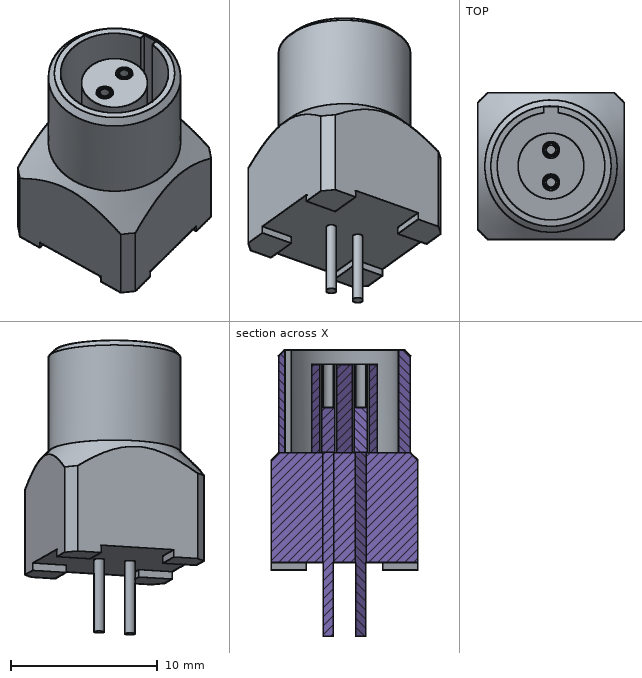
import cadquery as cq

BLOCK_SIDE = 10.0
BLOCK_CHAMFER = 0.7
BLOCK_HEIGHT = 8.0
CHANNEL_WIDTH = 5.2
CHANNEL_HEIGHT = 0.5

SHELL_RADIUS = 4.5
SHELL_BORE_RADIUS = 3.67
SHELL_RIM_CHAMFER = 0.4
KEYWAY_WIDTH = 1.0
KEYWAY_REACH = 4.04

INSULATOR_RADIUS = 2.25
INSULATOR_RECESS = 1.0
CONTACT_SPACING = 2.2
CONTACT_HOLE_RADIUS = 0.57
CONTACT_RADIUS = 0.45
CONTACT_BORE_RADIUS = 0.33
CONTACT_BORE_DEPTH = 2.92

PIN_RADIUS = 0.35
PIN_PROTRUSION = 4.5

TOTAL_HEIGHT = 19.5
RIM_Z = TOTAL_HEIGHT - PIN_PROTRUSION
SHELL_HEIGHT = RIM_Z - BLOCK_HEIGHT
INSULATOR_HEIGHT = SHELL_HEIGHT - INSULATOR_RECESS
PIN_LENGTH = PIN_PROTRUSION + BLOCK_HEIGHT
CONTACT_POINTS = [(0, -CONTACT_SPACING / 2), (0, CONTACT_SPACING / 2)]


def cylinder(radius, height, bottom_z, center=(0, 0)):
    return cq.Workplane("XY", origin=(*center, bottom_z)).circle(radius).extrude(height)


def make_block():
    """Square block with a 45 degree conical shoulder and crossed channels underneath."""
    block = cq.Workplane("XY").rect(BLOCK_SIDE, BLOCK_SIDE).extrude(BLOCK_HEIGHT)
    block = block.edges("|Z").chamfer(BLOCK_CHAMFER)

    cone = (
        cq.Workplane("XZ")
        .polyline([
            (0, 0),
            (SHELL_RADIUS + BLOCK_HEIGHT, 0),
            (SHELL_RADIUS, BLOCK_HEIGHT),
            (0, BLOCK_HEIGHT),
        ])
        .close()
        .revolve(360, (0, 0, 0), (0, 1, 0))
    )
    block = block.intersect(cone)

    for length_x, length_y in [(BLOCK_SIDE, CHANNEL_WIDTH), (CHANNEL_WIDTH, BLOCK_SIDE)]:
        channel = cq.Workplane("XY").rect(length_x, length_y).extrude(CHANNEL_HEIGHT)
        block = block.cut(channel)

    for point in CONTACT_POINTS:
        block = block.cut(cylinder(PIN_RADIUS, BLOCK_HEIGHT, 0, point))
    return block


def make_shell():
    """Tube standing on the block, with a chamfered rim and an internal keyway on +Y."""
    shell = cylinder(SHELL_RADIUS, SHELL_HEIGHT, BLOCK_HEIGHT)
    shell = shell.faces(">Z").edges().chamfer(SHELL_RIM_CHAMFER)
    shell = shell.cut(cylinder(SHELL_BORE_RADIUS, SHELL_HEIGHT, BLOCK_HEIGHT))
    keyway = (
        cq.Workplane("XY", origin=(0, KEYWAY_REACH / 2, BLOCK_HEIGHT))
        .rect(KEYWAY_WIDTH, KEYWAY_REACH)
        .extrude(SHELL_HEIGHT)
    )
    return shell.cut(keyway)


def make_insulator():
    """Round post inside the shell, with a clearance hole around each contact."""
    insulator = cylinder(INSULATOR_RADIUS, INSULATOR_HEIGHT, BLOCK_HEIGHT)
    for point in CONTACT_POINTS:
        insulator = insulator.cut(cylinder(CONTACT_HOLE_RADIUS, INSULATOR_HEIGHT, BLOCK_HEIGHT, point))
    return insulator


def make_contact(point):
    """Socket contact, flush with the insulator, with a blind bore."""
    contact = cylinder(CONTACT_RADIUS, INSULATOR_HEIGHT, BLOCK_HEIGHT, point)
    bore_bottom = BLOCK_HEIGHT + INSULATOR_HEIGHT - CONTACT_BORE_DEPTH
    return contact.cut(cylinder(CONTACT_BORE_RADIUS, CONTACT_BORE_DEPTH, bore_bottom, point))


def make_pin(point):
    """Solder pin running through the block up to its contact."""
    return cylinder(PIN_RADIUS, PIN_LENGTH, -PIN_PROTRUSION, point)


block = make_block()
shell = make_shell()
insulator = make_insulator()
contacts = [make_contact(point) for point in CONTACT_POINTS]
pins = [make_pin(point) for point in CONTACT_POINTS]

result = cq.Compound.makeCompound([
    block.solids().val(),
    shell.solids().val(),
    insulator.solids().val(),
    *[contact.solids().val() for contact in contacts],
    *[pin.solids().val() for pin in pins],
])